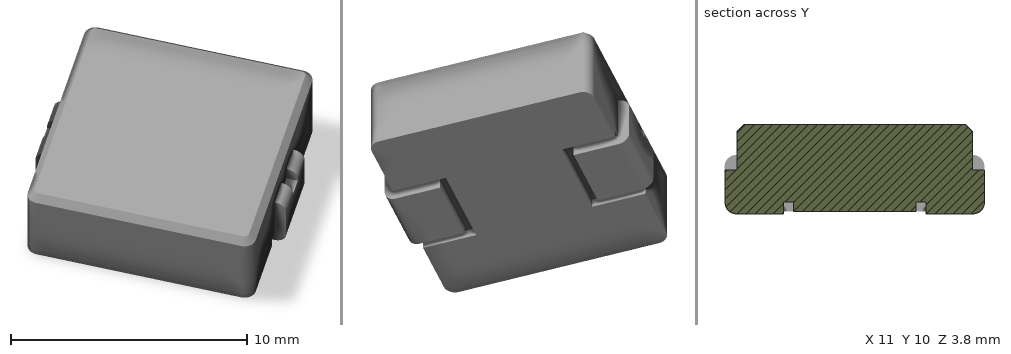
import cadquery as cq

overall_length = 11.0
overall_height = 3.8
body_side = 10.0
standoff = 0.1
corner_radius = 0.5
top_chamfer = 0.3

terminal_width = 3.0
terminal_height = 2.5
foot_length = 2.5
notch_width = 0.8
notch_depth = 0.62
pocket_clearance = 0.4

half_length = overall_length / 2
half_body = body_side / 2
terminal_thickness = half_length - half_body
foot_end = half_length - foot_length


def box_between(x_range, width, z_range):
    """Box spanning two X and two Z limits, centred on Y = 0."""
    x_min, x_max = x_range
    z_min, z_max = z_range
    return (
        cq.Workplane("XY")
        .box(x_max - x_min, width, z_max - z_min, centered=(False, True, False))
        .translate((x_min, 0, z_min))
    )


def make_body():
    """Square block with rounded upright edges and a chamfered top rim."""
    return (
        cq.Workplane("XY")
        .workplane(offset=standoff)
        .rect(body_side, body_side)
        .extrude(overall_height - standoff)
        .edges("|Z")
        .fillet(corner_radius)
        .faces(">Z")
        .chamfer(top_chamfer)
    )


def make_pocket():
    """Underside recess around the +X foot, as high as the foot and open to the side face."""
    return box_between(
        (foot_end - pocket_clearance, half_length),
        terminal_width + 2 * pocket_clearance,
        (0, terminal_thickness),
    )


def make_terminal():
    """Terminal on the +X side: its foot lies in the pocket, its leg stands outside the body.

    The block above the foot merges with the body. Both outer bends are quarter
    rounds across the full leg thickness.
    """
    block = box_between((foot_end, half_length), terminal_width, (0, terminal_height))
    notch = box_between(
        (half_body, half_length),
        notch_width,
        (terminal_height - notch_depth, terminal_height),
    )
    return block.edges("|Y and >X").fillet(terminal_thickness).cut(notch)


pocket = make_pocket()
terminal = make_terminal()

result = make_body()
for cutter in (pocket, pocket.mirror("YZ")):
    result = result.cut(cutter)
for lead in (terminal, terminal.mirror("YZ")):
    result = result.union(lead)